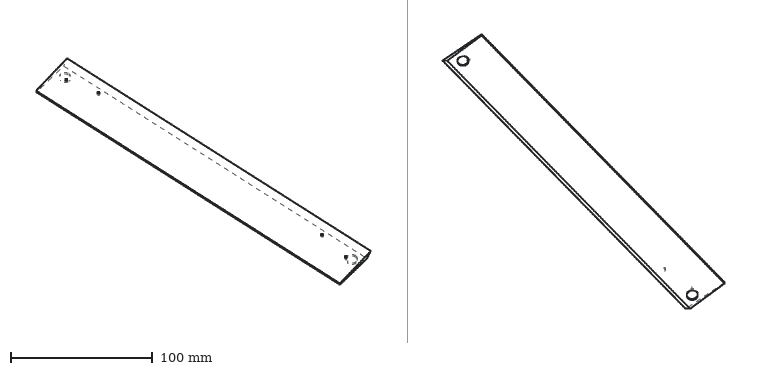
import cadquery as cq

length = 272.0
width = 35.5
thickness = 4.4

front_thickness = 1.75
bevel_run = 4.4

hole_diameter = 1.5
hole_depth = 1.5
outer_hole_x = 125.0
outer_hole_from_back = 15.0
inner_hole_x = 100.0
inner_hole_from_back = 10.0

recess_diameter = 8.0
recess_depth = 1.5
recess_x = 128.3
recess_from_back = 12.5

front_y = -width / 2
back_y = width / 2
keel_y = back_y - bevel_run


def make_strip():
    """Extrude the cross-section along the length, with the top face at Z = 0."""
    section = [
        (front_y, 0),
        (back_y, 0),
        (keel_y, -thickness),
        (front_y, -front_thickness),
    ]
    return cq.Workplane("YZ").polyline(section).close().extrude(length / 2, both=True)


def make_top_holes():
    """Cutters for the four blind holes, entering from the top face."""
    outer_y = back_y - outer_hole_from_back
    inner_y = back_y - inner_hole_from_back
    centers = []
    for side in (-1, 1):
        centers.append((side * outer_hole_x, outer_y))
        centers.append((side * inner_hole_x, inner_y))
    return cq.Workplane("XY").pushPoints(centers).circle(hole_diameter / 2).extrude(-hole_depth)


def make_underside_recesses():
    """Cutters for the two recesses, perpendicular to the sloping underside."""
    slope_run = keel_y - front_y
    slope_drop = thickness - front_thickness
    recess_y = back_y - recess_from_back
    surface_z = -front_thickness - slope_drop * (recess_y - front_y) / slope_run
    underside = cq.Plane(
        origin=(0, recess_y, surface_z),
        xDir=(1, 0, 0),
        normal=(0, slope_drop, slope_run),
    )
    centers = [(-recess_x, 0), (recess_x, 0)]
    return cq.Workplane(underside).pushPoints(centers).circle(recess_diameter / 2).extrude(recess_depth)


result = make_strip().cut(make_top_holes()).cut(make_underside_recesses())